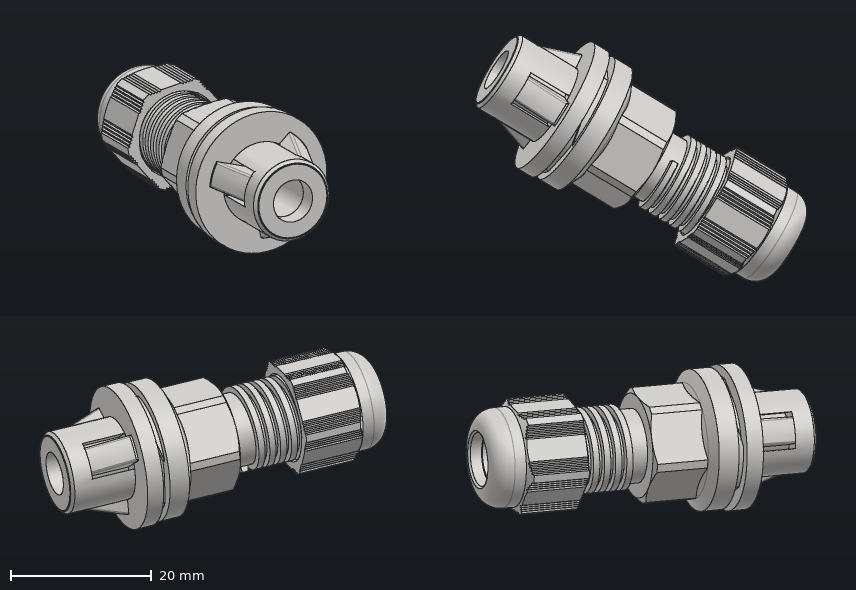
import cadquery as cq
import math


HEX_ACROSS_FLATS = 15.0
HEX_CORNER_DIAMETER = 16.6
HEX_FLAT_ANGLE = 40.3
THIRDS = 3
SIXTHS = 6
OVERCUT = 1.0

DOME_DIAMETER = 14.45
DOME_RADIUS = 3.0
GRIP_START = 4.7
CAP_END = 13.9
GRIP_CHAMFER_SLOPE = 0.75
CAP_MOUTH_DIAMETER = 8.3
CAP_MOUTH_CHAMFER = 0.3
CAP_BORE_DIAMETER = 7.7
CAP_CAVITY_START = 4.2
CAP_CAVITY_DIAMETER = 12.9
PLAIN_FLAT_WIDTH = 3.26
GROOVES_PER_SIDE = 4

SEAL_START = 2.0
SEAL_END = 4.2
SEAL_DIAMETER = 10.14
SEAL_LIP_DIAMETER = 7.0
SEAL_LIP_END = 3.0
SEAL_POCKET_DIAMETER = 9.1

BODY_START = SEAL_END
SHANK_DIAMETER = 10.67
BODY_BORE_DIAMETER = 6.24
HEX_START = 23.8
HEX_CHAMFER_SLOPE = 0.53
CONE_START = 31.9
CONE_START_DIAMETER = 16.7
FLANGE_START = 32.88
FLANGE_END = 35.88
FLANGE_DIAMETER = 20.4
CAM_CORE_DIAMETER = 16.44
CAM_DIAMETER = 18.05

THREAD_DIAMETER = 12.43
THREAD_PITCH = 1.685
THREAD_CREST = 0.95
THREAD_ROOT = 1.15
THREAD_START = 11.94
THREAD_TURNS = 5.6
THREAD_START_ANGLE = 90
THREAD_EMBED = 0.2

LUG_END_ANGLE = 98
LUG_FLANGE_SPAN = 74
LUG_GASKET_SPAN = 43

GASKET_START = 37.0
GASKET_END = 39.48
GASKET_DIAMETER = 20.99

TAIL_DIAMETER = 12.1
TAIL_BORE_DIAMETER = BODY_BORE_DIAMETER
TAIL_END = 49.3
TAIL_CHAMFER = 0.45
LATCH_ANGLE = 43.2
LATCH_HALF_WIDTH = 1.92
LATCH_TIP_RADIUS = 8.27
LATCH_TIP_LENGTH = 0.3
LATCH_FILLET = 0.35
WINDOW_END = 46.0
WINDOW_FLOOR_DIAMETER = 7.2
WINDOW_WIDTH = 5.28

INSERT_START = 46.5
INSERT_END = 49.38
INSERT_DIAMETER = 10.9
INSERT_BORE_DIAMETER = TAIL_BORE_DIAMETER


def turned(points):
    """Solid of revolution about X from (x, radius) points."""
    return cq.Workplane("XY").polyline(points).close().revolve(360, (0, 0, 0), (1, 0, 0))


def cylinder(start, end, diameter):
    return cq.Workplane("YZ", origin=(start, 0, 0)).circle(diameter / 2).extrude(end - start)


def about_axis(shape, angle):
    return shape.rotate((0, 0, 0), (1, 0, 0), angle)


def hexagon(start, end):
    """Hexagonal bar with flattened corners."""
    corner_diameter = HEX_ACROSS_FLATS / math.cos(math.pi / SIXTHS)
    plane = cq.Plane.YZ((start, 0, 0))
    bar = cq.Workplane(plane).polygon(SIXTHS, corner_diameter).extrude(end - start)
    trim = cq.Workplane(plane).polygon(SIXTHS, HEX_CORNER_DIAMETER, circumscribed=True).extrude(end - start)
    return about_axis(bar.intersect(trim), HEX_FLAT_ANGLE - 180 / SIXTHS)


def grip_grooves():
    """V-grooves on one grip flat that faces +Y, in two groups beside its smooth middle."""
    apothem = HEX_ACROSS_FLATS / 2
    half_side = apothem * math.tan(math.pi / SIXTHS)
    corner_cut = 2 * (2 * half_side - HEX_CORNER_DIAMETER / 2)
    half_plain = PLAIN_FLAT_WIDTH / 2
    pitch = (half_side - corner_cut - half_plain) / GROOVES_PER_SIDE
    grooves = cq.Workplane("YZ", origin=(GRIP_START, 0, 0))
    for side in (-1, 1):
        for index in range(GROOVES_PER_SIDE):
            near = side * (half_plain + index * pitch)
            far = near + side * pitch
            bottom = apothem - pitch / 2
            groove = [(apothem, near), (bottom, (near + far) / 2), (apothem, far)]
            grooves = grooves.polyline(groove).close()
    return grooves.extrude(CAP_END - GRIP_START)


def make_cap():
    grip = hexagon(GRIP_START, CAP_END)
    for index in range(SIXTHS):
        grip = grip.cut(about_axis(grip_grooves(), HEX_FLAT_ANGLE + index * 360 / SIXTHS))
    dome_radius = DOME_DIAMETER / 2
    rim_radius = HEX_CORNER_DIAMETER / 2 + OVERCUT
    rim_start = GRIP_START + GRIP_CHAMFER_SLOPE * (rim_radius - dome_radius)
    grip = grip.intersect(turned([
        (GRIP_START, 0), (GRIP_START, dome_radius), (rim_start, rim_radius),
        (CAP_END, rim_radius), (CAP_END, 0),
    ]))
    dome = cylinder(0, GRIP_START + OVERCUT, DOME_DIAMETER).faces("<X").edges().fillet(DOME_RADIUS)
    inside = turned([
        (0, 0), (0, CAP_MOUTH_DIAMETER / 2), (CAP_MOUTH_CHAMFER, CAP_BORE_DIAMETER / 2),
        (SEAL_START, CAP_BORE_DIAMETER / 2), (SEAL_START, SEAL_DIAMETER / 2),
        (CAP_CAVITY_START, SEAL_DIAMETER / 2), (CAP_CAVITY_START, CAP_CAVITY_DIAMETER / 2),
        (CAP_END, CAP_CAVITY_DIAMETER / 2), (CAP_END, 0),
    ])
    return grip.union(dome).cut(inside)


def make_seal():
    return turned([
        (SEAL_START, SEAL_LIP_DIAMETER / 2), (SEAL_LIP_END, SEAL_LIP_DIAMETER / 2),
        (SEAL_LIP_END, SEAL_POCKET_DIAMETER / 2), (SEAL_END, SEAL_POCKET_DIAMETER / 2),
        (SEAL_END, SEAL_DIAMETER / 2), (SEAL_START, SEAL_DIAMETER / 2),
    ])


def thread():
    """Right-handed trapezoidal ridge, swept along Z and then laid along X."""
    root_radius = SHANK_DIAMETER / 2 - THREAD_EMBED
    crest_radius = THREAD_DIAMETER / 2
    helix = cq.Wire.makeHelix(THREAD_PITCH, THREAD_PITCH * THREAD_TURNS, root_radius)
    profile = [
        (root_radius, -THREAD_ROOT / 2), (crest_radius, -THREAD_CREST / 2),
        (crest_radius, THREAD_CREST / 2), (root_radius, THREAD_ROOT / 2),
    ]
    ridge = cq.Workplane("XZ").polyline(profile).close().sweep(cq.Workplane(helix), isFrenet=True)
    ridge = ridge.rotate((0, 0, 0), (1, 1, 1), 120)
    return about_axis(ridge, THREAD_START_ANGLE).translate((THREAD_START, 0, 0))


def cam_lug():
    """Raised sector behind the flange: one end slants, the other runs out tangent to the core."""
    core = CAM_CORE_DIAMETER / 2
    inner = core - OVERCUT
    outer = CAM_DIAMETER / 2
    length = GASKET_START - FLANGE_END
    end = math.radians(LUG_END_ANGLE)
    tangent = end + math.acos(core / outer)

    def at(radius, angle):
        return (radius * math.cos(angle), radius * math.sin(angle))

    start = end - math.radians(LUG_FLANGE_SPAN)
    lug = cq.Workplane("YZ", origin=(FLANGE_END, 0, 0)).moveTo(*at(inner, start))
    lug = lug.lineTo(*at(outer, start))
    lug = lug.threePointArc(at(outer, (start + end) / 2), at(outer, end))
    lug = lug.lineTo(*at(core, tangent)).lineTo(*at(inner, tangent))
    lug = lug.threePointArc(at(inner, (start + tangent) / 2), at(inner, start))
    lug = lug.close().extrude(length)
    slant_span = LUG_FLANGE_SPAN - LUG_GASKET_SPAN
    slant_angle = LUG_END_ANGLE - (LUG_FLANGE_SPAN + LUG_GASKET_SPAN) / 2
    half_run = outer * math.sin(math.radians(slant_span / 2))
    slant = cq.Workplane("XZ").polyline([
        (FLANGE_END, -half_run), (GASKET_START, half_run), (GASKET_START, -half_run - OVERCUT),
        (FLANGE_END, -half_run - OVERCUT),
    ]).close().extrude(-(outer + OVERCUT))
    return lug.cut(about_axis(slant, slant_angle))


def make_body():
    hex_radius = HEX_ACROSS_FLATS / 2
    cone_radius = CONE_START_DIAMETER / 2
    chamfer_run = HEX_CHAMFER_SLOPE * (cone_radius - hex_radius)
    rim_radius = cone_radius + OVERCUT
    rim_start = HEX_START + HEX_CHAMFER_SLOPE * (rim_radius - hex_radius)
    hex_bar = hexagon(HEX_START, CONE_START).intersect(turned([
        (HEX_START, 0), (HEX_START, hex_radius), (rim_start, rim_radius),
        (CONE_START, rim_radius), (CONE_START, 0),
    ]))
    core = turned([
        (BODY_START, 0), (BODY_START, SHANK_DIAMETER / 2), (HEX_START, SHANK_DIAMETER / 2),
        (HEX_START, hex_radius - OVERCUT), (CONE_START - chamfer_run, hex_radius - OVERCUT),
        (CONE_START - chamfer_run, hex_radius), (CONE_START, cone_radius),
        (FLANGE_START, FLANGE_DIAMETER / 2), (FLANGE_END, FLANGE_DIAMETER / 2),
        (FLANGE_END, CAM_CORE_DIAMETER / 2), (GASKET_START, CAM_CORE_DIAMETER / 2),
        (GASKET_START, 0),
    ])
    body = core.union(hex_bar)
    for index in range(THIRDS):
        body = body.union(about_axis(cam_lug(), index * 360 / THIRDS))
    body = body.union(thread())
    return body.cut(cylinder(BODY_START, GASKET_START, BODY_BORE_DIAMETER))


def make_gasket():
    gasket = cylinder(GASKET_START, GASKET_END, GASKET_DIAMETER)
    return gasket.cut(cylinder(GASKET_START, GASKET_END, TAIL_DIAMETER))


def latch():
    """Conical latch arm that faces +Y, with a short flat tip at the gasket."""
    inner = TAIL_BORE_DIAMETER / 2
    slope_start = GASKET_END + LATCH_TIP_LENGTH
    slope = (LATCH_TIP_RADIUS - TAIL_DIAMETER / 2) / (WINDOW_END - slope_start)
    blank_start = GASKET_END - OVERCUT
    blank_end = WINDOW_END + OVERCUT
    cone = turned([
        (blank_start, 0), (blank_start, LATCH_TIP_RADIUS + slope * (LATCH_TIP_LENGTH + OVERCUT)),
        (blank_end, TAIL_DIAMETER / 2 - slope * OVERCUT), (blank_end, 0),
    ])
    blank = cq.Workplane("XY").box(
        blank_end - blank_start, GASKET_DIAMETER / 2, 2 * LATCH_HALF_WIDTH, centered=(False, False, True)
    )
    arm = cone.intersect(blank.translate((blank_start, 0, 0)))
    arm = arm.edges("%HYPERBOLA").fillet(LATCH_FILLET)
    envelope = turned([
        (GASKET_END, inner), (GASKET_END, LATCH_TIP_RADIUS), (WINDOW_END, LATCH_TIP_RADIUS),
        (WINDOW_END, inner),
    ])
    return arm.intersect(envelope)


def window():
    """Pocket in the tail wall around the latch arm that faces +Y."""
    length = WINDOW_END - GASKET_END
    pocket = cq.Workplane("XY").box(length, TAIL_DIAMETER, WINDOW_WIDTH, centered=(False, False, True))
    pocket = pocket.translate((GASKET_END, 0, 0))
    return pocket.cut(cylinder(GASKET_END, WINDOW_END, WINDOW_FLOOR_DIAMETER))


def make_tail():
    tail = cylinder(GASKET_START, TAIL_END, TAIL_DIAMETER).faces(">X").edges().chamfer(TAIL_CHAMFER)
    angles = [LATCH_ANGLE + index * 360 / THIRDS for index in range(THIRDS)]
    for angle in angles:
        tail = tail.cut(about_axis(window(), angle))
    for angle in angles:
        tail = tail.union(about_axis(latch(), angle))
    tail = tail.cut(cylinder(GASKET_START, INSERT_START, TAIL_BORE_DIAMETER))
    return tail.cut(cylinder(INSERT_START, TAIL_END, INSERT_DIAMETER))


def make_insert():
    bore = cylinder(INSERT_START, INSERT_END, INSERT_BORE_DIAMETER)
    return cylinder(INSERT_START, INSERT_END, INSERT_DIAMETER).cut(bore)


cap = make_cap()
seal = make_seal()
body = make_body()
gasket = make_gasket()
tail = make_tail()
insert = make_insert()

result = cq.Compound.makeCompound([
    cap.val(), seal.val(), body.val(), gasket.val(), tail.val(), insert.val(),
])